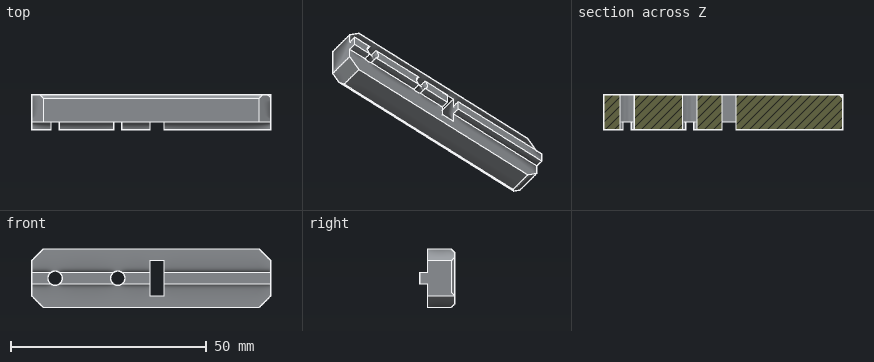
import cadquery as cq

length = 61.0
height = 15.0
total_depth = 9.0
rail_depth = 2.0
rail_height = 3.0
corner_chamfer = 3.0
back_chamfer = 1.0
end_bevel = 0.85

hole_count = 2
hole_diameter = 3.6
first_hole_from_end = 6.0
hole_spacing = 16.0

slot_start = 30.2
slot_width = 3.55
slot_height = 9.0

body_depth = total_depth - rail_depth


def make_body():
    """Bar with cut corners, its long top and bottom back edges bevelled."""
    body = (
        cq.Workplane("XY")
        .box(length, body_depth, height, centered=False)
        .edges("|Y")
        .chamfer(corner_chamfer)
    )
    return body.faces(">Y").edges("<Z or >Z").chamfer(back_chamfer)


def make_end_bevel():
    """Cutter for the upright back edge of the +X end, closed below by a 45 degree floor."""
    bevel_front = body_depth - end_bevel
    corner_prism = (
        cq.Workplane("XY")
        .moveTo(length, body_depth)
        .lineTo(length - end_bevel, body_depth)
        .lineTo(length, bevel_front)
        .close()
        .extrude(height)
    )
    above_floor = (
        cq.Workplane("YZ", origin=(length - end_bevel, 0, 0))
        .moveTo(body_depth, corner_chamfer)
        .lineTo(bevel_front, corner_chamfer + end_bevel)
        .lineTo(bevel_front, height)
        .lineTo(body_depth, height)
        .close()
        .extrude(end_bevel)
    )
    return corner_prism.intersect(above_floor)


def make_rail():
    """Guide rail at mid height along the front face."""
    return (
        cq.Workplane("XY")
        .box(length, rail_depth, rail_height, centered=False)
        .translate((0, -rail_depth, (height - rail_height) / 2))
    )


def make_holes():
    """Round holes through rail and body at mid height."""
    centers = [(first_hole_from_end + i * hole_spacing, height / 2) for i in range(hole_count)]
    return (
        cq.Workplane("XZ")
        .pushPoints(centers)
        .circle(hole_diameter / 2)
        .extrude(total_depth, both=True)
    )


def make_slot():
    """Upright rectangular slot through rail and body."""
    return (
        cq.Workplane("XY")
        .box(slot_width, total_depth, slot_height, centered=False)
        .translate((slot_start, -rail_depth, (height - slot_height) / 2))
    )


body = make_body().cut(make_end_bevel())
result = body.union(make_rail()).cut(make_holes()).cut(make_slot())